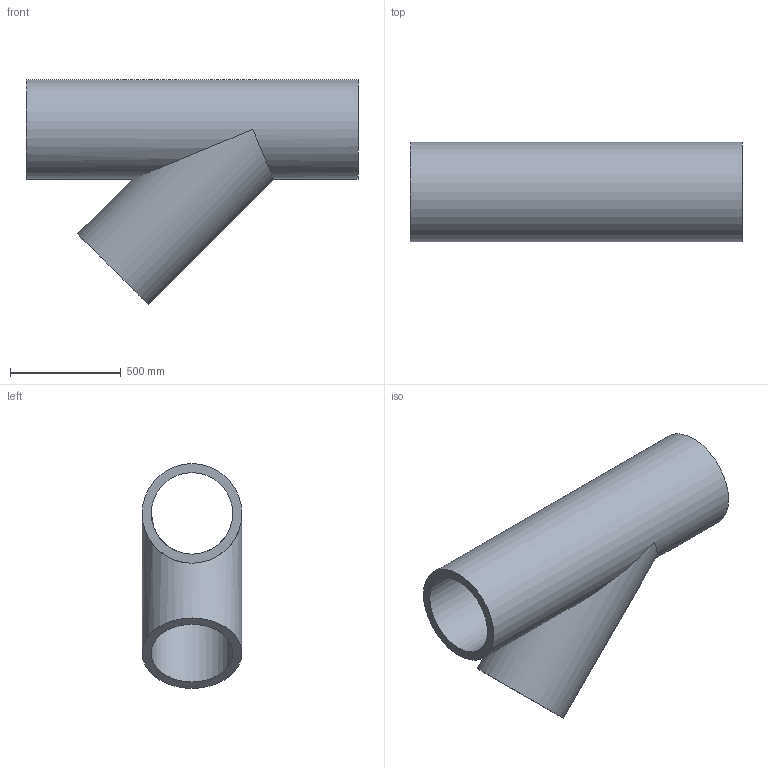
import cadquery as cq
import math

outer_diameter = 450.0
bore_diameter = 368.2
main_length = 1500.0

branch_angle = 45.0
overall_height = 1015.69
junction_from_left_end = 1025.0

outer_radius = outer_diameter / 2
angle = math.radians(branch_angle)
junction_x = junction_from_left_end - main_length / 2
branch_drop = overall_height - outer_radius - outer_radius * math.cos(angle)
branch_length = branch_drop / math.sin(angle)

main_plane = cq.Plane(origin=(-main_length / 2, 0, 0), xDir=(0, 1, 0), normal=(1, 0, 0))
branch_plane = cq.Plane(
    origin=(junction_x, 0, 0),
    xDir=(0, 1, 0),
    normal=(-math.cos(angle), 0, -math.sin(angle)),
)


def rod(plane, diameter, length):
    """Solid cylinder standing on the given plane."""
    return cq.Workplane(plane).circle(diameter / 2).extrude(length)


def pipe_tee(diameter):
    """Main and branch cylinders of one diameter, joined where their axes meet."""
    main = rod(main_plane, diameter, main_length)
    branch = rod(branch_plane, diameter, branch_length)
    return main.union(branch)


result = pipe_tee(outer_diameter).cut(pipe_tee(bore_diameter))